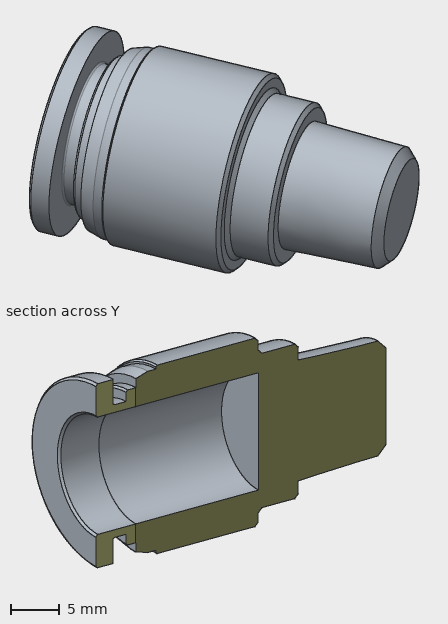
import cadquery as cq

flange_end = 2.22
guide_start = 3.8
collet_end = 5.02
lip_cone_end = 6.5
sleeve_start = 7.55
sleeve_end = 20.4
collar_start = 20.85
collar_end = 25.4
overall_length = 36.4
bore_depth = sleeve_end

flange_width = 23.0
flange_height = 20.5
neck_diameter = 14.8
bore_diameter = 13.0
guide_diameter = 17.3
lip_start_diameter = 19.3
lip_diameter = 20.2
sleeve_diameter = 21.0
collar_diameter = 17.2
stem_base_diameter = 13.5
stem_tip_diameter = 12.8

flange_chamfer = 0.25
bore_chamfer = 0.25
neck_fillet = 0.2
guide_chamfer = 0.22
sleeve_front_chamfer = 0.2
sleeve_rear_chamfer = 0.4
collar_chamfer = 0.45
stem_chamfer = 1.02


def axial_cylinder(diameter, start, end):
    """Cylinder on the X axis between two axial positions."""
    return cq.Workplane("YZ", origin=(start, 0, 0)).circle(diameter / 2).extrude(end - start)


def make_collet():
    """Release collet: oval flange, round neck and guide ring with a through bore."""
    flange = (
        cq.Workplane("YZ")
        .ellipse(flange_width / 2, flange_height / 2)
        .extrude(flange_end)
        .faces("<X")
        .chamfer(flange_chamfer)
    )
    neck = axial_cylinder(neck_diameter, flange_end, guide_start)
    collet = flange.union(neck)
    root_corner = cq.selectors.BoxSelector(
        (flange_end - neck_fillet, -neck_diameter, -neck_diameter),
        (flange_end + neck_fillet, neck_diameter, neck_diameter),
        boundingbox=False,
    )
    collet = collet.edges(root_corner).edges("%CIRCLE").fillet(neck_fillet)
    guide = axial_cylinder(guide_diameter, guide_start, collet_end).faces("<X").chamfer(guide_chamfer)
    collet = collet.union(guide).cut(axial_cylinder(bore_diameter, 0, collet_end))
    return collet.faces("<X").edges("%CIRCLE").chamfer(bore_chamfer)


def make_housing():
    """Stepped turned housing with a tapered stem and a blind tube bore."""
    lip_radius = lip_diameter / 2
    sleeve_radius = sleeve_diameter / 2
    collar_radius = collar_diameter / 2
    root_step = collar_start - sleeve_end
    profile = [
        (collet_end, 0),
        (collet_end, lip_start_diameter / 2),
        (lip_cone_end, lip_radius),
        (sleeve_start, lip_radius),
        (sleeve_start, sleeve_radius - sleeve_front_chamfer),
        (sleeve_start + sleeve_front_chamfer, sleeve_radius),
        (sleeve_end - sleeve_rear_chamfer, sleeve_radius),
        (sleeve_end, sleeve_radius - sleeve_rear_chamfer),
        (sleeve_end, collar_radius + root_step),
        (collar_start, collar_radius),
        (collar_end - collar_chamfer, collar_radius),
        (collar_end, collar_radius - collar_chamfer),
        (collar_end, stem_base_diameter / 2),
        (overall_length - stem_chamfer, stem_tip_diameter / 2),
        (overall_length, stem_tip_diameter / 2 - stem_chamfer),
        (overall_length, 0),
    ]
    body = cq.Workplane("XY").polyline(profile).close().revolve(360, (0, 0, 0), (1, 0, 0))
    tube_bore = axial_cylinder(bore_diameter, collet_end, bore_depth)
    return body.cut(tube_bore)


collet = make_collet()
housing = make_housing()
result = cq.Compound.makeCompound([collet.val(), housing.val()])